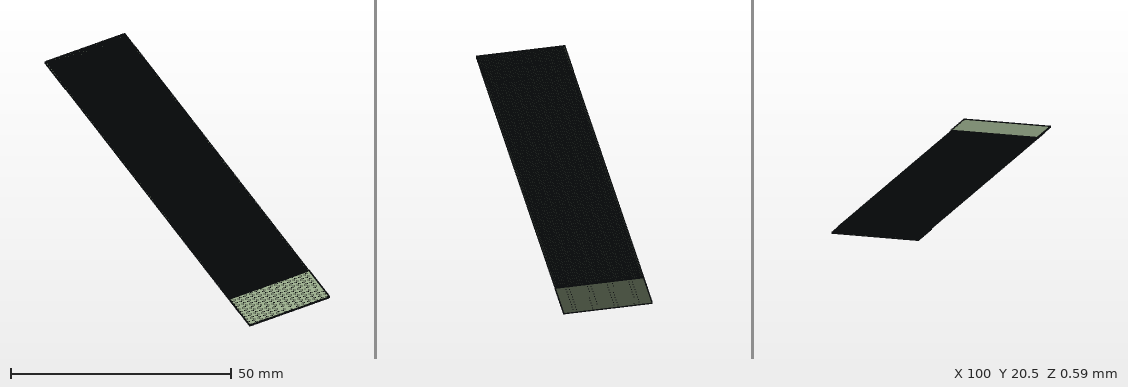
import cadquery as cq

length = 100.0
width = 20.5
total_height = 0.59

pitch = 0.5
conductor_count = round(width / pitch) - 1
conductor_width = 0.3
conductor_height = 0.05

film_height = 0.04
contact_length = 5.0
stiffener_length = 10.0

cable_height = 2 * film_height + conductor_height
stiffener_height = (total_height - cable_height) / 2

lower_film_z = stiffener_height
conductor_z = lower_film_z + film_height
upper_film_z = conductor_z + conductor_height
upper_stiffener_z = upper_film_z + film_height


def slab(x_start, x_end, z_start, height):
    """Full-width layer between two X positions."""
    return (
        cq.Workplane("XY")
        .box(x_end - x_start, width, height, centered=(False, True, False))
        .translate((x_start, 0, z_start))
    )


def conductors():
    """Full-length row of flat conductors."""
    return (
        cq.Workplane("XY")
        .rarray(1, pitch, 1, conductor_count)
        .box(length, conductor_width, conductor_height, centered=(False, True, False))
        .translate((0, 0, conductor_z))
    )


lower_film = slab(0, length - contact_length, lower_film_z, film_height)
upper_film = slab(contact_length, length, upper_film_z, film_height)

lower_stiffener = slab(0, stiffener_length, 0, stiffener_height)
upper_stiffener = slab(length - stiffener_length, length, upper_stiffener_z, stiffener_height)

result = (
    conductors()
    .union(lower_film)
    .union(upper_film)
    .union(lower_stiffener)
    .union(upper_stiffener)
)